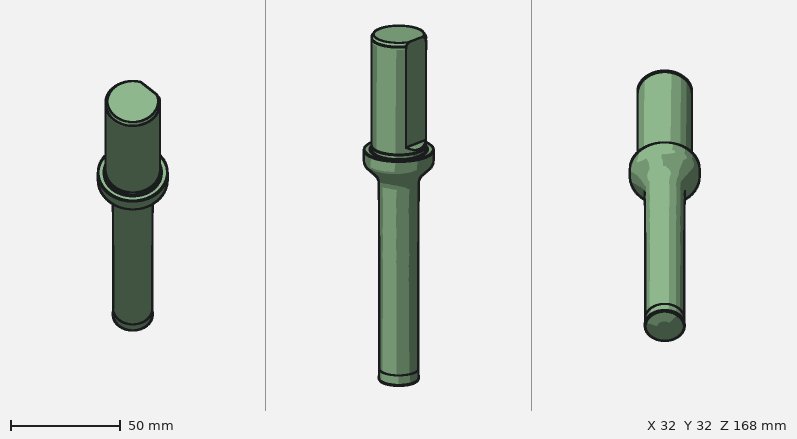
import cadquery as cq
import math

total_length = 168.0
tip_joint_z = 5.9
taper_start_z = 52.8
neck_bottom_z = 90.7
neck_top_z = 95.8
flange_bottom_z = 106.8
flange_top_z = 112.2

body_radius = 18.0 / 2
neck_radius = 18.3 / 2
cutting_radius = 18.3 / 2
shank_radius = 25.0 / 2
groove_radius = 24.5 / 2
flange_radius = 32.0 / 2

shoulder_convex_radius = 3.4
flange_edge_chamfer = 0.3

undercut_ring_radius = 13.3
undercut_depth = 0.3
groove_top_z = 114.2
groove_taper_length = 0.5

end_groove_bottom = 3.2
end_groove_top = 2.0
end_chamfer_length = 1.5
end_face_radius = 23.0 / 2

flat_distance = 10.5
flat_bottom_z = 117.5

tip_rim_z = 1.3
tip_face_z = 0.7
tip_face_radius = 8.7
tip_nose_radius = 3.4


def make_holder():
    """Revolved tool body with a flared shoulder, flange and shank."""
    along = math.sin(math.pi / 4)
    across = 1 - math.cos(math.pi / 4)
    half_turn = math.pi / 8
    half_along = math.sin(half_turn)
    half_across = 1 - math.cos(half_turn)

    rise = flange_bottom_z - neck_top_z
    spread = flange_radius - neck_radius
    shoulder_concave_radius = (rise - spread) / (along - across) - shoulder_convex_radius

    concave_middle = (neck_radius + shoulder_concave_radius * half_across,
                      neck_top_z + shoulder_concave_radius * half_along)
    concave_end = (neck_radius + shoulder_concave_radius * across,
                   neck_top_z + shoulder_concave_radius * along)
    convex_start = (flange_radius - shoulder_convex_radius * across,
                    flange_bottom_z - shoulder_convex_radius * along)
    convex_middle = (flange_radius - shoulder_convex_radius * half_across,
                     flange_bottom_z - shoulder_convex_radius * half_along)

    profile = (
        cq.Workplane("XZ")
        .moveTo(0, tip_joint_z)
        .lineTo(body_radius, tip_joint_z)
        .lineTo(body_radius, taper_start_z)
        .lineTo(neck_radius, neck_bottom_z)
        .lineTo(neck_radius, neck_top_z)
        .threePointArc(concave_middle, concave_end)
        .lineTo(*convex_start)
        .threePointArc(convex_middle, (flange_radius, flange_bottom_z))
        .lineTo(flange_radius, flange_top_z - flange_edge_chamfer)
        .lineTo(flange_radius - flange_edge_chamfer, flange_top_z)
        .lineTo(undercut_ring_radius, flange_top_z)
        .lineTo(undercut_ring_radius - undercut_depth, flange_top_z - undercut_depth)
        .lineTo(groove_radius, flange_top_z - undercut_depth)
        .lineTo(groove_radius, groove_top_z - groove_taper_length)
        .lineTo(shank_radius, groove_top_z)
        .lineTo(shank_radius, total_length - end_groove_bottom)
        .lineTo(groove_radius, total_length - end_groove_top)
        .lineTo(shank_radius, total_length - end_chamfer_length)
        .lineTo(end_face_radius, total_length)
        .lineTo(0, total_length)
        .close()
    )
    revolved_body = profile.revolve(360, (0, 0, 0), (0, 1, 0))
    return revolved_body.cut(make_flat_cutter()).solids()


def make_flat_cutter():
    """Prism that removes the shank flat and its 45 degree run-out."""
    outer_y = undercut_ring_radius
    run_out_z = flat_bottom_z - (outer_y - flat_distance)
    return (
        cq.Workplane("YZ")
        .moveTo(flat_distance, flat_bottom_z)
        .lineTo(outer_y, run_out_z)
        .lineTo(outer_y, total_length)
        .lineTo(flat_distance, total_length)
        .close()
        .extrude(shank_radius, both=True)
    )


def make_cutting_tip():
    """Tip that widens toward its rim and ends in a shallow cone with a flat nose."""
    return (
        cq.Workplane("XZ")
        .moveTo(0, 0)
        .lineTo(tip_nose_radius, 0)
        .lineTo(tip_face_radius, tip_face_z)
        .lineTo(cutting_radius, tip_rim_z)
        .lineTo(body_radius, tip_joint_z)
        .lineTo(0, tip_joint_z)
        .close()
        .revolve(360, (0, 0, 0), (0, 1, 0))
    )


holder = make_holder()
cutting_tip = make_cutting_tip()

result = cq.Compound.makeCompound([holder.val(), cutting_tip.val()])